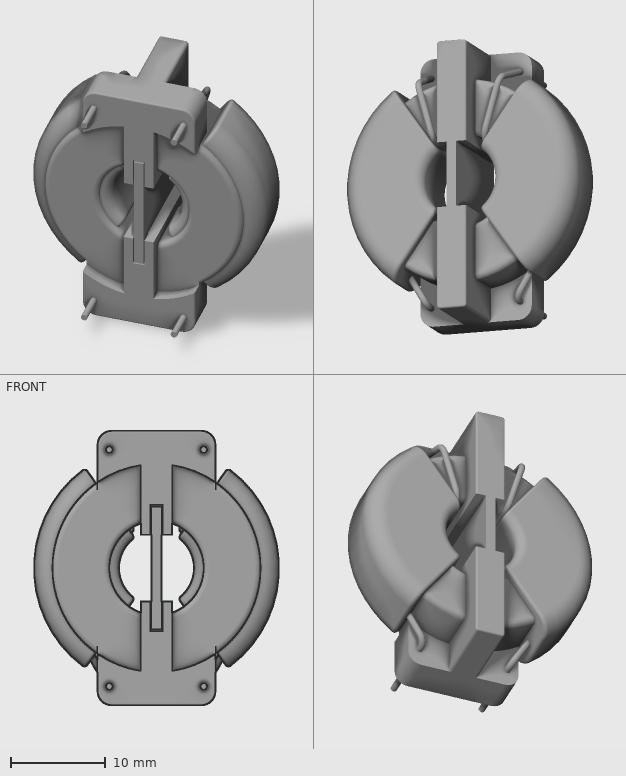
import cadquery as cq
import math


carrier_length = 29.0
carrier_depth = 12.04
base_width = 12.47
base_thickness = 4.12
base_overlap = 6.67
base_corner_radius = 1.5
base_edge_radius = 0.2
leg_width = 3.3
leg_inner_z = 3.5
leg_side_radius = 0.35
leg_back_radius = 0.2

plate_thickness = 1.07
plate_length = 12.93
slot_width = 1.28
slot_length = 13.4

core_front_y = 1.42
core_back_y = 9.0
core_radius = 11.0
bore_radius = 5.0
core_edge_radius = 0.6

winding_diameter = 25.9
winding_radius = winding_diameter / 2
winding_bore_radius = 3.95
winding_front_y = 2.05
winding_back_y = 10.03
winding_half_angle = 54.5
winding_outer_round = 2.0
winding_inner_round = 1.02
winding_end_radius = 0.35

wire_radius = 0.35
pin_length = 3.3
pin_x = 5.0
pin_z = 12.5
lead_embed = 0.3

lead_rise = 0.05
lead_back_y = winding_back_y + lead_rise - wire_radius
lead_back_x = 4.58
lead_back_z = 10.65
lead_bore_x = 2.73
lead_bore_z = 4.12
lead_bore_depth = 2.8
upper_lead_bend_radius = 1.33

lower_lead_y = 5.57
lower_lead_end_x = 7.05
lower_lead_end_z = 9.0
lower_lead_bend_radius = 1.05

half_length = carrier_length / 2


def box_between(x, y, z):
    """Box spanning the given (low, high) range on each axis."""
    return cq.Workplane("XY").box(
        x[1] - x[0], y[1] - y[0], z[1] - z[0], centered=False
    ).translate((x[0], y[0], z[0]))


def y_cylinder(radius, y_start, y_end):
    """Cylinder about the core axis."""
    return cq.Workplane("XZ", origin=(0, y_start, 0)).circle(radius).extrude(y_start - y_end)


def with_mirror_image(solid, plane):
    """The solid joined with its mirror image."""
    return solid.union(solid.mirror(plane))


def make_base_block():
    """Upper base block, recessed at the front where the core shows."""
    half_width = base_width / 2
    block = box_between(
        (-half_width, half_width), (0, base_thickness), (half_length - base_overlap, half_length)
    )
    block = block.edges("|Y and >Z").fillet(base_corner_radius)
    block = block.faces("<Y").edges("not <Z").fillet(base_edge_radius)
    return block.cut(y_cylinder(core_radius, 0, core_front_y))


def make_leg():
    """Upper clip leg, running the whole depth of the carrier and through the core."""
    half_width = leg_width / 2
    back = box_between(
        (-half_width, half_width), (base_thickness, carrier_depth), (leg_inner_z, half_length)
    )
    back = back.edges("|Y and >Z").fillet(leg_side_radius)
    back = back.faces(">Y").edges("not <Z").fillet(leg_back_radius)
    front = box_between(
        (-half_width, half_width), (0, base_thickness), (leg_inner_z, half_length - base_corner_radius)
    )
    slot = box_between(
        (-slot_width / 2, slot_width / 2), (0, core_front_y), (0, slot_length / 2)
    )
    return front.union(back).cut(slot)


def make_plate():
    return box_between(
        (-plate_thickness / 2, plate_thickness / 2),
        (0, carrier_depth),
        (-plate_length / 2, plate_length / 2),
    )


def make_core():
    core = y_cylinder(core_radius, core_front_y, core_back_y)
    core = core.cut(y_cylinder(bore_radius, core_front_y, core_back_y))
    return core.edges().fillet(core_edge_radius)


def rounded_rims(solid, x_low, x_high, radius):
    """Round the swept rims that cross the X axis between two distances from the core axis."""
    rims = cq.selectors.BoxSelector((x_low, 0, -0.3), (x_high, carrier_depth, 0.3))
    return solid.edges("%CIRCLE").edges(rims).fillet(radius)


def make_winding():
    """Wound sector on the +X side, a rounded section swept around the core axis."""
    section = (
        cq.Workplane("XY")
        .moveTo(winding_bore_radius, winding_front_y)
        .lineTo(winding_radius, winding_front_y)
        .lineTo(winding_radius, winding_back_y)
        .lineTo(winding_bore_radius, winding_back_y)
        .close()
    )
    winding = section.revolve(2 * winding_half_angle, (0, 0, 0), (0, 1, 0))
    winding = winding.rotate((0, 0, 0), (0, 1, 0), -winding_half_angle)
    mid_radius = (winding_radius + winding_bore_radius) / 2

    winding = rounded_rims(winding, mid_radius, winding_radius, winding_outer_round)
    winding = rounded_rims(winding, 0, mid_radius, winding_inner_round)
    return winding.faces("%PLANE").faces("not |Y").edges().fillet(winding_end_radius)


def bent_wire(corners, bend_radius):
    """Round wire along straight runs, with a circular bend at every inner corner."""
    points = [cq.Vector(*corner) for corner in corners]
    edges = []
    run_start = points[0]
    for before, corner, after in zip(points, points[1:], points[2:]):
        to_before = (before - corner).normalized()
        to_after = (after - corner).normalized()
        half_angle = to_before.getAngle(to_after) / 2
        bend_start = corner + to_before * (bend_radius / math.tan(half_angle))
        bend_end = corner + to_after * (bend_radius / math.tan(half_angle))
        bisector = (to_before + to_after).normalized()
        bend_middle = corner + bisector * (bend_radius / math.sin(half_angle) - bend_radius)
        edges.append(cq.Edge.makeLine(run_start, bend_start))
        edges.append(cq.Edge.makeThreePointArc(bend_start, bend_middle, bend_end))
        run_start = bend_end
    edges.append(cq.Edge.makeLine(run_start, points[-1]))
    path = cq.Wire.assembleEdges(edges)
    profile_plane = cq.Plane(origin=points[0].toTuple(), normal=(points[1] - points[0]).toTuple())
    return cq.Workplane(profile_plane).circle(wire_radius).sweep(cq.Workplane(path))


def make_pin(z):
    return cq.Workplane("XZ", origin=(pin_x, 0, z)).circle(wire_radius).extrude(pin_length)


def make_upper_lead():
    """Lead from the upper base block over the back of the core and into its bore."""
    base_end = (pin_x, base_thickness - lead_embed, pin_z)
    back_corner = (lead_back_x, lead_back_y, lead_back_z)
    bore_corner = (lead_bore_x, lead_back_y, lead_bore_z)
    bore_end = (lead_bore_x, lead_back_y - lead_bore_depth, lead_bore_z)
    return bent_wire([base_end, back_corner, bore_corner, bore_end], upper_lead_bend_radius)


def make_lower_lead():
    """Lead from the lower base block out to the end of the winding."""
    base_end = (pin_x, base_thickness - lead_embed, -pin_z)
    corner = (pin_x, lower_lead_y, -pin_z)
    winding_end = (lower_lead_end_x, lower_lead_y, -lower_lead_end_z)
    return bent_wire([base_end, corner, winding_end], lower_lead_bend_radius)


carrier_half = make_base_block().union(make_leg())
carrier = with_mirror_image(carrier_half, "XY")
right_side = (
    make_winding()
    .union(make_pin(pin_z))
    .union(make_pin(-pin_z))
    .union(make_upper_lead())
    .union(make_lower_lead())
)
result = carrier.union(make_core()).union(make_plate()).union(with_mirror_image(right_side, "YZ"))